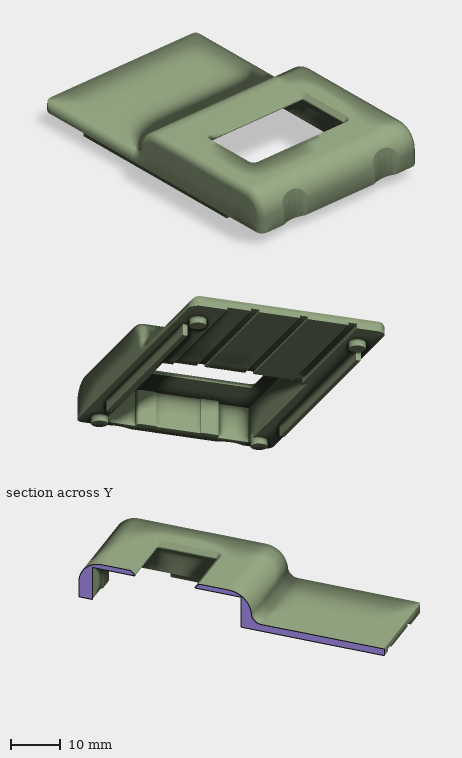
import cadquery as cq
import math

length = 66.0
width = 42.0
plate_height = 2.1
housing_height = 8.6

step_start = 26.65
step_inner_radius = 2.0
shoulder_radius = 5.0
side_fillet = 1.6
plate_corner_radius = 2.1

roof_thickness = 1.2
cavity_start = 31.0
cavity_end = 64.0
cavity_width = 31.0

pad_width = 17.7
pad_thickness = 1.3
pad_corner_radius = 0.7
pad_recess_width = 9.65
pad_recess_depth = 0.3

window_center_x = 47.4
window_length = 14.8
window_width = 26.45
window_corner_radius = 1.3
window_bevel = 0.9
bevel_angle = 45

scallop_offset = 12.15
scallop_radius = 6.6
scallop_depth = 0.65
scallop_draft = 3.4

rail_start = 10.15
rail_end = 53.4
rail_outer_y = 19.1
rail_thickness = 1.0
rail_depth = 2.45
embed_height = 1.0
pin_diameter = 3.4
pin_depth = 1.4
pin_x_positions = (6.9, 62.4)
pin_y = 17.1

channel_left_y = 13.3
channel_right_y = -14.4
channel_depth = 0.45
groove_width = 1.8
groove_depth = 1.0
groove_y_positions = (7.4, -3.05, -13.45)


def box(x_range, y_range, z_range):
    """Axis-aligned block between two limits on each axis."""
    size = [high - low for low, high in (x_range, y_range, z_range)]
    corner = (x_range[0], y_range[0], z_range[0])
    return cq.Workplane("XY").box(*size, centered=False).translate(corner)


def make_body():
    """Stepped slab with rounded side edges."""
    foot_z = plate_height + step_inner_radius
    shoulder_z = housing_height - shoulder_radius
    drop = foot_z - shoulder_z
    reach = step_inner_radius + shoulder_radius
    run = math.sqrt(reach**2 - drop**2)
    slope = math.asin(drop / reach)
    shoulder_x = step_start + run
    end_arc_x = length - shoulder_radius

    def foot_point(angle):
        x = step_start + step_inner_radius * math.cos(angle)
        z = foot_z + step_inner_radius * math.sin(angle)
        return (x, z)

    def shoulder_point(center_x, angle):
        x = center_x + shoulder_radius * math.cos(angle)
        z = shoulder_z + shoulder_radius * math.sin(angle)
        return (x, z)

    foot_middle = foot_point(-(math.pi / 2 + slope) / 2)
    tangent_point = foot_point(-slope)
    shoulder_middle = shoulder_point(shoulder_x, (math.pi - slope + math.pi / 2) / 2)

    body = (
        cq.Workplane("XZ")
        .moveTo(0, 0)
        .lineTo(0, plate_height)
        .lineTo(step_start, plate_height)
        .threePointArc(foot_middle, tangent_point)
        .threePointArc(shoulder_middle, (shoulder_x, housing_height))
        .lineTo(end_arc_x, housing_height)
        .threePointArc(shoulder_point(end_arc_x, math.pi / 4), (length, shoulder_z))
        .lineTo(length, 0)
        .close()
        .extrude(width / 2, both=True)
    )
    body = body.faces("<Y or >Y").edges("not(<X or <Z)").fillet(side_fillet)
    blank = box((0, length), (-width / 2, width / 2), (0, housing_height))
    return body.intersect(blank.edges("|Z and <X").fillet(plate_corner_radius))


def make_cavity():
    """Pocket open at the bottom, with the pad left standing on its +X wall."""
    z_range = (0, housing_height - roof_thickness)
    pad_face = cavity_end - pad_thickness
    recess_end = pad_face + pad_recess_depth
    cavity = box((cavity_start, cavity_end), (-cavity_width / 2, cavity_width / 2), z_range)
    pad = box((pad_face, cavity_end), (-pad_width / 2, pad_width / 2), z_range)
    pad = pad.edges("|Z and <X").fillet(pad_corner_radius)
    recess = box((pad_face, recess_end), (-pad_recess_width / 2, pad_recess_width / 2), z_range)
    return cavity.cut(pad.cut(recess))


def make_window():
    """Rounded opening, widest at the roof and bevelled inward below it."""
    inner_radius = window_corner_radius - window_bevel
    opening = (
        cq.Workplane("XY")
        .box(window_length - 2 * window_bevel, window_width - 2 * window_bevel, housing_height)
        .edges("|Z")
        .fillet(inner_radius)
        .translate((window_center_x, 0, housing_height / 2))
    )
    bevel = (
        cq.Workplane("XY", origin=(window_center_x, 0, housing_height))
        .sketch()
        .rect(window_length, window_width)
        .vertices()
        .fillet(window_corner_radius)
        .finalize()
        .extrude(-window_bevel, taper=bevel_angle)
    )
    return opening.union(bevel)


def make_scallop(y):
    center_x = length + scallop_radius - scallop_depth
    top_radius = scallop_radius + housing_height * math.tan(math.radians(scallop_draft))
    cone = cq.Solid.makeCone(scallop_radius, top_radius, housing_height)
    return cq.Workplane(cone.translate(cq.Vector(center_x, y, 0)))


def make_channels():
    """Shallow wide channel with three deeper grooves in it."""
    reach = (0, cavity_start)
    channels = box(reach, (channel_right_y, channel_left_y), (0, channel_depth))
    for y in groove_y_positions:
        sides = (y - groove_width / 2, y + groove_width / 2)
        channels = channels.union(box(reach, sides, (0, groove_depth)))
    return channels


def make_rail(side):
    inner_y = rail_outer_y - rail_thickness
    limits = sorted((side * inner_y, side * rail_outer_y))
    return box((rail_start, rail_end), limits, (-rail_depth, embed_height))


def make_pins():
    centers = [(x, side * pin_y) for x in pin_x_positions for side in (-1, 1)]
    return (
        cq.Workplane("XY", origin=(0, 0, -pin_depth))
        .pushPoints(centers)
        .circle(pin_diameter / 2)
        .extrude(pin_depth + embed_height)
    )


result = make_body().cut(make_cavity()).cut(make_window()).cut(make_channels())
for side in (-1, 1):
    result = result.cut(make_scallop(side * scallop_offset))
    result = result.union(make_rail(side))
result = result.union(make_pins())